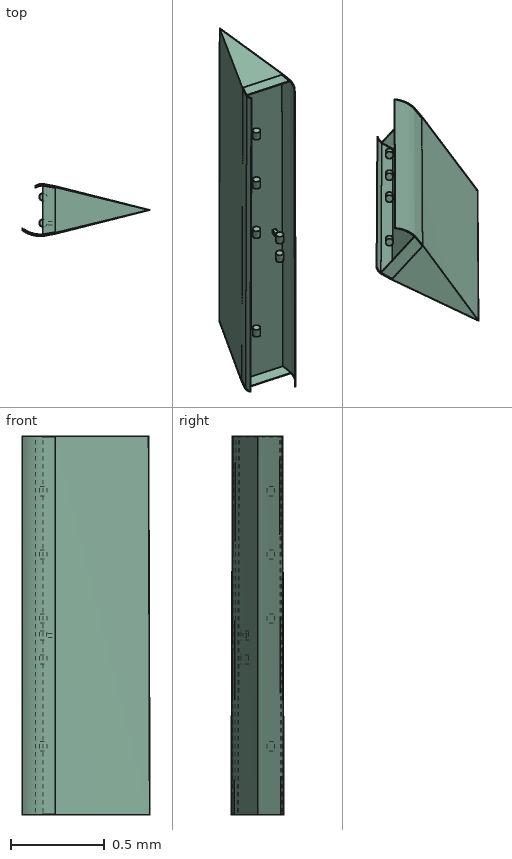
import cadquery as cq

SPAN = 2.02
TRAILING_X = 0.68
TIP_TRAILING_X = 0.675
TIP_THICKNESS = 0.95
HALF_THICKNESS = 0.1404
SPAR_HALF_THICKNESS = 0.127
MOUTH_X = 0.11
SPAR_X = 0.178
SHEET = 0.005

LOWER_LIP_END = (0.0, -0.107)
LOWER_LIP_MIDDLE = (0.05, -0.133)
UPPER_LIP_END = (0.07, 0.13)
UPPER_LIP_MIDDLE = (0.089, 0.137)

PIN_DIAMETER = 0.04
PIN_LENGTH = 0.048
PIN_X = 0.111
PIN_Y = 0.0697
UPPER_PIN_HEIGHTS = [0.368, 1.048, 1.39, 1.727]
LOWER_PIN_HEIGHT = 0.83
FIXED_PIN_HEIGHT = 0.957
BRACKET_THICKNESS = 0.02


def span_loft(draw_section):
    """Loft a section from the foot to the slimmer far end."""
    foot = draw_section(cq.Workplane("XY"), 1.0, TRAILING_X)
    far = draw_section(cq.Workplane("XY", origin=(0, 0, SPAN)), TIP_THICKNESS, TIP_TRAILING_X)
    solid = cq.Solid.makeLoft([foot.val(), far.val()], True)
    return cq.Workplane(obj=solid)


def body_section(plane, scale, trailing_x):
    mouth_y = HALF_THICKNESS * scale
    spar_y = SPAR_HALF_THICKNESS * scale
    points = [
        (MOUTH_X, -mouth_y),
        (SPAR_X, -spar_y),
        (trailing_x, 0),
        (SPAR_X, spar_y),
        (MOUTH_X, mouth_y),
    ]
    return plane.polyline(points).close()


def bay_section(plane, scale, trailing_x):
    mouth_y = HALF_THICKNESS * scale - SHEET
    spar_y = SPAR_HALF_THICKNESS * scale - SHEET
    points = [
        (MOUTH_X, -mouth_y),
        (SPAR_X, -spar_y),
        (SPAR_X, spar_y),
        (MOUTH_X, mouth_y),
    ]
    return plane.polyline(points).close()


def make_lip(end, middle, side):
    """Thin curved lip joined to the skin at the mouth; side is +1 or -1 in Y."""
    root = (MOUTH_X, side * HALF_THICKNESS)

    def section(plane, scale, trailing_x):
        outer = [(x, y * scale) for x, y in (end, middle, root)]
        inner = [(x, y - side * SHEET) for x, y in outer]
        return (
            plane.moveTo(*outer[0])
            .threePointArc(outer[1], outer[2])
            .lineTo(*inner[2])
            .threePointArc(inner[1], inner[0])
            .close()
        )

    return span_loft(section)


def make_pin(y, height):
    base = cq.Workplane("XY", origin=(PIN_X, y, height - PIN_LENGTH / 2))
    return base.circle(PIN_DIAMETER / 2).extrude(PIN_LENGTH)


def make_bay():
    """Space ahead of the spar, stopping short of both end plates."""
    clear_span = cq.Workplane("XY", origin=(0, 0, SHEET)).rect(
        2 * TRAILING_X, 4 * HALF_THICKNESS
    ).extrude(SPAN - 2 * SHEET)
    return span_loft(bay_section).intersect(clear_span)


def make_fixed_pin():
    """Pin with a short bracket reaching back to the spar."""
    bracket = cq.Workplane("XY").box(
        SPAR_X - PIN_X, BRACKET_THICKNESS, BRACKET_THICKNESS, centered=(False, True, True)
    ).translate((PIN_X, -PIN_Y, FIXED_PIN_HEIGHT))
    return make_pin(-PIN_Y, FIXED_PIN_HEIGHT).union(bracket)


def make_flap():
    flap = span_loft(body_section).cut(make_bay())
    flap = flap.union(make_lip(LOWER_LIP_END, LOWER_LIP_MIDDLE, -1))
    flap = flap.union(make_lip(UPPER_LIP_END, UPPER_LIP_MIDDLE, 1))
    return flap.union(make_fixed_pin())


flap = make_flap()

pin_places = [(PIN_Y, height) for height in UPPER_PIN_HEIGHTS]
pin_places.append((-PIN_Y, LOWER_PIN_HEIGHT))
pins = [make_pin(y, height) for y, height in pin_places]

result = cq.Compound.makeCompound([flap.val(), *[pin.val() for pin in pins]])